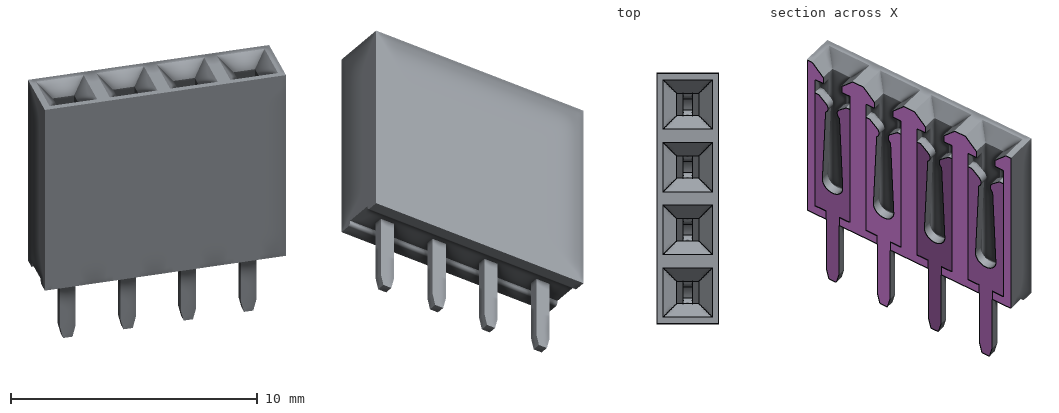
import cadquery as cq
import math


contact_count = 4
total_height = 11.5
housing_width = 2.5
housing_length = 10.15
housing_height = 8.5
pitch = housing_length / contact_count

foot_width = 0.62
foot_height = 0.21
foot_round = 0.14

mouth_size = 2.0
socket_size = 0.9
socket_floor_z = 1.61
funnel_depth = (mouth_size - socket_size) / 2
socket_top_z = housing_height - funnel_depth

contact_thickness = 0.38
fork_width = 1.72
fork_base_z = 0.69
slot_roof_drop = 0.35
slot_top_z = socket_top_z - slot_roof_drop

fork_top_z = 6.9
throat_radius = 0.5
throat_bottom_z = 1.84
grip_gap = 0.44
grip_radius = 0.32
lead_in_angle = 40.0
lead_in_mouth = 1.38

tail_width = 0.64
tail_length = total_height - housing_height
tip_width = 0.39
tip_length = 0.5

contact_places = [(i - (contact_count - 1) / 2) * pitch for i in range(contact_count)]


def block(size_x, size_y, bottom_z, top_z):
    """A box centred on the Z axis between two heights."""
    return (
        cq.Workplane("XY")
        .workplane(offset=bottom_z)
        .rect(size_x, size_y)
        .extrude(top_z - bottom_z)
    )


def housing_blank():
    """The outer block with the channel that separates its two feet."""
    body = block(housing_width, housing_length, 0, housing_height)
    channel = block(housing_width - 2 * foot_width, housing_length, 0, foot_height)
    foot_middle_x = (housing_width - foot_width) / 2
    inner_foot_edges = cq.selectors.BoxSelector(
        (-foot_middle_x, -housing_length, -foot_round),
        (foot_middle_x, housing_length, foot_round),
    )
    return body.cut(channel).edges("|Y").edges(inner_foot_edges).fillet(foot_round)


def socket_cavity():
    """The empty space for one contact: funnel, square socket, fork slot and tail slot."""
    funnel = (
        cq.Workplane("XY")
        .workplane(offset=socket_top_z)
        .rect(socket_size, socket_size)
        .workplane(offset=funnel_depth)
        .rect(mouth_size, mouth_size)
        .loft(ruled=True)
    )
    socket = block(socket_size, socket_size, socket_floor_z, socket_top_z)
    fork_slot = block(contact_thickness, fork_width, fork_base_z, slot_top_z)
    tail_slot = block(contact_thickness, tail_width, 0, fork_base_z)
    return funnel.union(socket).union(fork_slot).union(tail_slot)


def make_housing():
    body = housing_blank()
    cavity = socket_cavity()
    for y in contact_places:
        body = body.cut(cavity.translate((0, y, 0)))
    return body


def contact_blank():
    """The flat outline of the fork's outer sides and the tail."""
    right_side = [
        (tip_width / 2, -tail_length),
        (tail_width / 2, -tail_length + tip_length),
        (tail_width / 2, fork_base_z),
        (fork_width / 2, fork_base_z),
        (fork_width / 2, fork_top_z),
    ]
    left_side = [(-y, z) for y, z in reversed(right_side)]
    return (
        cq.Workplane("YZ")
        .polyline(right_side + left_side)
        .close()
        .extrude(contact_thickness / 2, both=True)
    )


def fork_opening():
    """The gap between the prongs: lead-in, grip bulges and round throat."""
    angle = math.radians(lead_in_angle)
    mouth_y = lead_in_mouth / 2
    grip_y = grip_gap / 2
    lead_end_y = grip_y + grip_radius * (1 - math.sin(angle))
    lead_end_z = fork_top_z - (mouth_y - lead_end_y) * math.tan(angle)
    grip_z = lead_end_z - grip_radius * math.cos(angle)
    grip_end_z = 2 * grip_z - lead_end_z
    throat_z = throat_bottom_z + throat_radius
    return (
        cq.Workplane("YZ")
        .moveTo(mouth_y, fork_top_z)
        .lineTo(lead_end_y, lead_end_z)
        .threePointArc((grip_y, grip_z), (lead_end_y, grip_end_z))
        .lineTo(throat_radius, throat_z)
        .threePointArc((0, throat_bottom_z), (-throat_radius, throat_z))
        .lineTo(-lead_end_y, grip_end_z)
        .threePointArc((-grip_y, grip_z), (-lead_end_y, lead_end_z))
        .lineTo(-mouth_y, fork_top_z)
        .close()
        .extrude(contact_thickness / 2, both=True)
    )


def make_contact(y):
    return contact_blank().cut(fork_opening()).translate((0, y, 0))


housing = make_housing()
contacts = [make_contact(y) for y in contact_places]

result = cq.Compound.makeCompound([housing.val(), *[contact.val() for contact in contacts]])